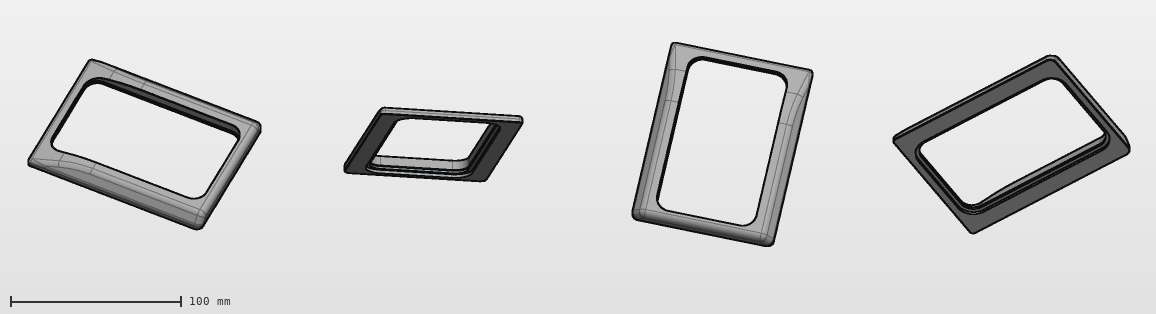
import cadquery as cq
import math

LENGTH = 112.8
WIDTH = 85.0
HEIGHT = 10.0

RAMP_ANGLE = math.radians(11.4)
RAMP_END = 18.3
FLAT_START = 38.9

WALL_HEIGHT = 4.3
SLOPE_ANGLE = math.radians(45)

RIDGE_RADIUS = 5.0
HIGH_END_RADIUS = 4.1
RIM_RADIUS = 2.4
BOTTOM_CHAMFER = 0.3

WINDOW_START = 6.8
WINDOW_LENGTH = 99.7
WINDOW_WIDTH = 58.9
LOW_CORNER_RADIUS = 8.6
HIGH_CORNER_RADIUS = 8.0
LIP_TOP = 3.5
LIP_BEVEL_HEIGHT = 0.7
LIP_WIDTH = 0.2
WINDOW_CHAMFER = 0.2

REBATE_DEPTH = 2.0
REBATE_WIDTH = 2.3

OVERHANG = 3.4

TOLERANCE = 0.01


def lengthwise_prism():
    """Ramp, arc and flat top, extruded across the width."""
    arc_radius = (FLAT_START - RAMP_END) / math.sin(RAMP_ANGLE)

    def arc_point(angle):
        return (
            FLAT_START - arc_radius * math.sin(angle),
            HEIGHT - arc_radius * (1 - math.cos(angle)),
        )

    ramp_top = arc_point(RAMP_ANGLE)
    ramp_foot_height = ramp_top[1] - (RAMP_END + OVERHANG) * math.tan(RAMP_ANGLE)
    return (
        cq.Workplane("XZ")
        .moveTo(-OVERHANG, -OVERHANG)
        .lineTo(-OVERHANG, ramp_foot_height)
        .lineTo(*ramp_top)
        .threePointArc(arc_point(RAMP_ANGLE / 2), (FLAT_START, HEIGHT))
        .lineTo(LENGTH + OVERHANG, HEIGHT)
        .lineTo(LENGTH + OVERHANG, -OVERHANG)
        .close()
        .extrude(WIDTH, both=True)
    )


def crosswise_prism():
    """Trapezoid made by the two side slopes, extruded along the length."""

    def half_width(height):
        return WIDTH / 2 - (height - WALL_HEIGHT) / math.tan(SLOPE_ANGLE)

    bottom = -OVERHANG
    top = HEIGHT + OVERHANG
    return (
        cq.Workplane("YZ", origin=(-OVERHANG, 0, 0))
        .moveTo(-half_width(bottom), bottom)
        .lineTo(half_width(bottom), bottom)
        .lineTo(half_width(top), top)
        .lineTo(-half_width(top), top)
        .close()
        .extrude(LENGTH + 2 * OVERHANG)
    )


def round_edges(body, radius, is_wanted):
    """Round the edges above the base whose bounding box passes the test."""
    edges = [
        edge
        for edge in body.edges().vals()
        if edge.Center().z > TOLERANCE and is_wanted(edge.BoundingBox())
    ]
    return body.newObject(edges).fillet(radius)


def is_ridge(box):
    """Edges along the length, where the top meets the side slopes."""
    return box.xlen > TOLERANCE


def is_high_end(box):
    """Edges round the high end face."""
    return box.xmin > LENGTH - TOLERANCE


def is_low_end_or_side(box):
    """Edges round the low end face and along the tops of the side walls."""
    at_low_end = box.xmax < TOLERANCE
    on_side = min(abs(box.ymin), abs(box.ymax)) > WIDTH / 2 - TOLERANCE
    return at_low_end or (on_side and box.xlen > TOLERANCE)


def outer_body():
    """Solid frame outline with every outer edge finished."""
    blank = lengthwise_prism().intersect(crosswise_prism())
    blank = round_edges(blank, RIDGE_RADIUS, is_ridge)
    outline = cq.Workplane("XY").box(LENGTH, WIDTH, HEIGHT, centered=(False, True, False))
    body = blank.intersect(outline)
    body = round_edges(body, HIGH_END_RADIUS, is_high_end)
    body = round_edges(body, RIM_RADIUS, is_low_end_or_side)
    return body.faces("<Z").chamfer(BOTTOM_CHAMFER)


def window_prism(bottom, top, margin):
    """Rounded window shape between two heights, grown by a margin on each side."""
    centre_x = WINDOW_START + WINDOW_LENGTH / 2
    return (
        cq.Workplane("XY", origin=(centre_x, 0, bottom))
        .rect(WINDOW_LENGTH + 2 * margin, WINDOW_WIDTH + 2 * margin)
        .extrude(top - bottom)
        .edges("|Z and <X")
        .fillet(LOW_CORNER_RADIUS + margin)
        .edges("|Z and >X")
        .fillet(HIGH_CORNER_RADIUS + margin)
    )


def lip_opening():
    """Lip opening with a tapered mouth that widens to the upper opening."""
    taper = math.degrees(math.atan(LIP_WIDTH / LIP_BEVEL_HEIGHT))
    return (
        window_prism(REBATE_DEPTH, LIP_TOP, 0)
        .faces(">Z")
        .wires()
        .toPending()
        .workplane()
        .extrude(LIP_BEVEL_HEIGHT, taper=-taper)
    )


def is_window_top(edge):
    """Whether an edge belongs to the upper outline of the window."""
    box = edge.BoundingBox()
    upright = max(box.xlen, box.ylen) < TOLERANCE
    above_lip = box.zmin > LIP_TOP + LIP_BEVEL_HEIGHT + TOLERANCE
    half_width = WINDOW_WIDTH / 2 + LIP_WIDTH + TOLERANCE
    within_width = max(abs(box.ymin), abs(box.ymax)) < half_width
    window_end = WINDOW_START + WINDOW_LENGTH
    within_length = (
        box.xmin > WINDOW_START - LIP_WIDTH - TOLERANCE
        and box.xmax < window_end + LIP_WIDTH + TOLERANCE
    )
    return above_lip and within_width and within_length and not upright


def cut_window(body):
    """Cut the rebate, the lip opening and the wider opening, then break the top edge."""
    body = body.cut(window_prism(0, REBATE_DEPTH, REBATE_WIDTH))
    body = body.cut(lip_opening())
    body = body.cut(window_prism(LIP_TOP + LIP_BEVEL_HEIGHT, HEIGHT, LIP_WIDTH))
    top_edges = [edge for edge in body.edges().vals() if is_window_top(edge)]
    return body.newObject(top_edges).chamfer(WINDOW_CHAMFER)


result = cut_window(outer_body())